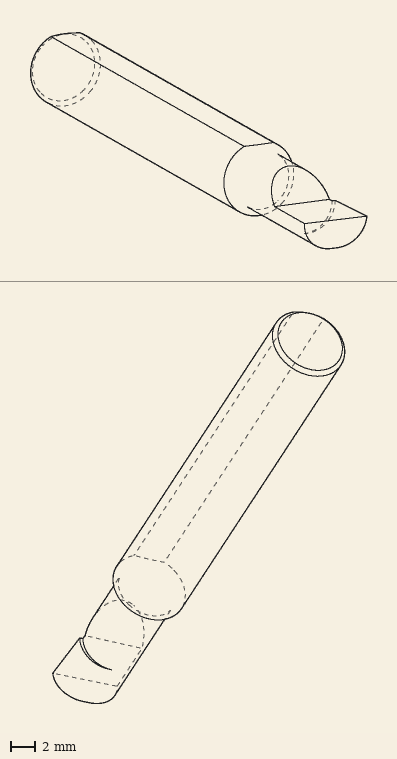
import cadquery as cq
import math

total_length = 50.8
shank_diameter = 6.35
shank_length = 36.8
rear_chamfer = 0.35
flat_height = 2.885

neck_diameter = 5.0
neck_fillet = 0.6

ramp_top_x = 42.45
ramp_angle = 45.0

head_start_x = 45.4
head_start_reach = 2.78
tip_reach = 3.08
end_relief_angle = 7.5
end_skew_angle = 2.0

shank_radius = shank_diameter / 2
neck_radius = neck_diameter / 2
ramp_bottom_x = ramp_top_x + neck_radius / math.tan(math.radians(ramp_angle))


def make_bar():
    """Shank and neck turned as one body around the X axis."""
    return (
        cq.Workplane("XZ")
        .moveTo(0, 0)
        .lineTo(0, shank_radius - rear_chamfer)
        .lineTo(rear_chamfer, shank_radius)
        .lineTo(shank_length, shank_radius)
        .lineTo(shank_length, neck_radius + neck_fillet)
        .radiusArc((shank_length + neck_fillet, neck_radius), -neck_fillet)
        .lineTo(total_length, neck_radius)
        .lineTo(total_length, 0)
        .close()
        .revolve(360, (0, 0, 0), (1, 0, 0))
    )


def make_flat_cutter():
    """Block above the clamping flat, over the shank and the neck fillet."""
    return cq.Workplane("XY", origin=(0, 0, flat_height)).box(
        total_length, shank_diameter, shank_radius, centered=(False, True, False)
    )


def make_ramp_cutter():
    """Prism that removes the upper half of the neck beyond the ramp."""
    return (
        cq.Workplane("XZ")
        .moveTo(ramp_top_x, neck_radius)
        .lineTo(ramp_bottom_x, 0)
        .lineTo(total_length, 0)
        .lineTo(total_length, neck_radius)
        .close()
        .extrude(neck_radius, both=True)
    )


def draw_head_section(plane, reach):
    """Lower half section with rounded corners, from the neck side out to the given +Y reach."""
    shift = reach - neck_radius
    diagonal = neck_radius * math.sqrt(0.5)
    return (
        plane.moveTo(-neck_radius, 0)
        .threePointArc((-diagonal, -diagonal), (0, -neck_radius))
        .lineTo(shift, -neck_radius)
        .threePointArc((shift + diagonal, -diagonal), (reach, 0))
        .close()
    )


def make_head():
    """Head lofted from its narrow rear section to the wide section at the tip."""
    rear = draw_head_section(cq.Workplane("YZ", origin=(head_start_x, 0, 0)), head_start_reach)
    front = rear.workplane(offset=total_length - head_start_x)
    return draw_head_section(front, tip_reach).loft(ruled=True)


def make_end_cutter():
    """Block whose rear face is the end face, pivoted on the tip corner."""
    size = 2 * shank_diameter
    tip = (total_length, tip_reach, 0)
    return (
        cq.Workplane("XY")
        .box(size, size, size, centered=(False, True, True))
        .rotate((0, 0, 0), (0, 1, 0), end_relief_angle)
        .rotate((0, 0, 0), (0, 0, 1), -end_skew_angle)
        .translate(tip)
    )


bar = make_bar().cut(make_flat_cutter()).cut(make_ramp_cutter())
result = bar.union(make_head()).cut(make_end_cutter())